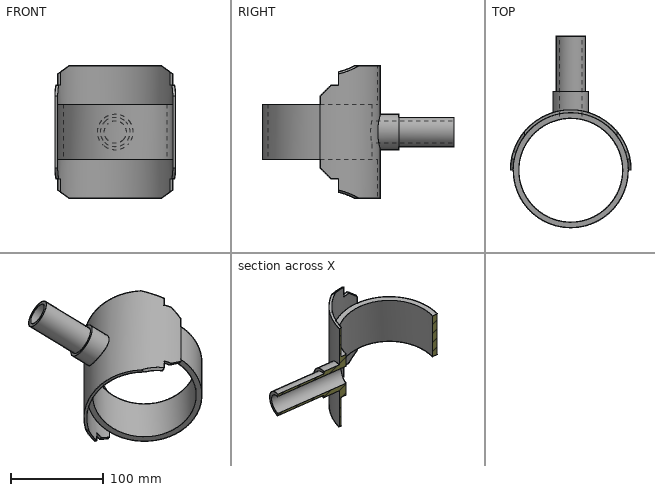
import cadquery as cq

shell_width = 131.2
shell_wall = 3.1
shell_outer_radius = shell_width / 2
shell_height = 144.0
shell_half_height = shell_height / 2

ring_outer_radius = shell_outer_radius - shell_wall
ring_wall = 6.2
ring_inner_radius = ring_outer_radius - ring_wall
ring_height = 60.0

step_y = 20.0
step_half_height = 51.0
front_chamfer = 12.0

slope_start_x = 50.1
slope_end_x = ring_outer_radius
slope_drop = 9.0

total_length = 208.0
stem_end_y = total_length - ring_outer_radius
stem_length = 60.0
collar_end_y = stem_end_y - stem_length
stem_radius = 16.0
collar_radius = 19.3
bore_radius = 12.0


def cylinder_along_y(radius, end_y):
    """Cylinder on the stem axis, from the ring centre to end_y."""
    return cq.Workplane("XZ").circle(radius).extrude(-end_y)


def make_ring_blank():
    return cq.Workplane("XY").cylinder(ring_height, ring_outer_radius)


def make_shell():
    outside = cq.Workplane("XY").cylinder(shell_height, shell_outer_radius)
    inside = cq.Workplane("XY").cylinder(shell_height, ring_outer_radius)
    tube = outside.cut(inside)
    upper_side_points = [
        (shell_outer_radius, shell_half_height),
        (step_y, shell_half_height),
        (step_y, step_half_height),
        (front_chamfer, step_half_height),
        (0, step_half_height - front_chamfer),
    ]
    lower_side_points = [(y, -z) for y, z in reversed(upper_side_points)]
    side_profile = (
        cq.Workplane("YZ")
        .polyline(upper_side_points + lower_side_points)
        .close()
        .extrude(shell_outer_radius, both=True)
    )
    shell = tube.intersect(side_profile)
    for side in (-1, 1):
        for end in (-1, 1):
            shell = shell.cut(make_corner_cutter(side, end))
    return shell


def make_corner_cutter(side, end):
    """Wedge above the sloping edge, continued in line past the shell's side."""
    slope = slope_drop / (slope_end_x - slope_start_x)
    wedge_width = shell_outer_radius - slope_start_x
    corner_z = end * shell_half_height
    return (
        cq.Workplane("XZ")
        .moveTo(side * slope_start_x, corner_z)
        .lineTo(side * shell_outer_radius, corner_z)
        .lineTo(side * shell_outer_radius, corner_z - end * slope * wedge_width)
        .close()
        .extrude(-shell_outer_radius)
    )


def make_stem():
    stem = cylinder_along_y(stem_radius, stem_end_y)
    collar = cylinder_along_y(collar_radius, collar_end_y)
    return stem.union(collar)


body = make_ring_blank().union(make_shell()).union(make_stem())

ring_opening = cq.Workplane("XY").cylinder(shell_height, ring_inner_radius)
stem_bore = cylinder_along_y(bore_radius, stem_end_y)
result = body.cut(ring_opening).cut(stem_bore)